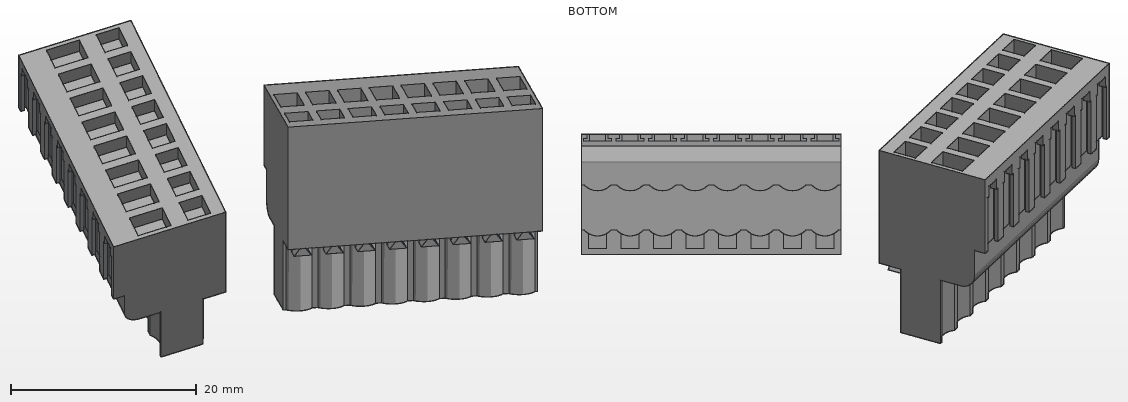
import cadquery as cq

poles = 8
pitch = 3.5
length = poles * pitch
depth = 13.0
height = 22.1
pole_centres = [pitch * (index + 0.5) for index in range(poles)]

body_height = 14.15
body_bottom = height - body_height
shelf_drop = 9.25
shelf_z = height - shelf_drop
shelf_setback = 1.3
corner_radius = 1.75
plug_front = 5.5
plug_back = 10.35

flute_chord = 2.85
flute_sagitta = 0.62

hole_width = 2.58
hole_depth = 2.0
back_hole_front = 8.8
back_hole_length = 2.63
front_hole_front = 3.02
front_hole_length = 3.8

slot_depth = 0.75
skin_thickness = 0.45
undercut_width = 3.0
slot_width = 2.3
slot_drop = 2.58
neck_width = 1.7
neck_drop = 1.3

catch_back = 12.35
catch_height = 1.05
catch_straight = 0.21
catch_top_width = 0.55
catch_bottom_width = 1.9


def make_housing():
    """Constant side profile extruded along the whole row of poles."""
    profile = (
        cq.Workplane("YZ")
        .moveTo(0, height)
        .lineTo(depth, height)
        .lineTo(depth, body_bottom)
        .lineTo(plug_back, body_bottom)
        .lineTo(plug_back, 0)
        .lineTo(plug_front, 0)
        .lineTo(plug_front, body_bottom)
        .lineTo(shelf_setback + corner_radius, body_bottom)
        .radiusArc((shelf_setback, body_bottom + corner_radius), corner_radius)
        .lineTo(shelf_setback, shelf_z)
        .lineTo(0, shelf_z)
        .close()
    )
    return profile.extrude(length)


def make_round_segment(centre_x, chord_y):
    """Upright circular segment bulging towards +Y from its chord."""
    return (
        cq.Workplane("XY")
        .moveTo(centre_x - flute_chord / 2, chord_y)
        .sagittaArc((centre_x + flute_chord / 2, chord_y), flute_sagitta)
        .close()
        .extrude(body_bottom)
    )


def make_block(centre_x, width, front_y, back_y, bottom_z, top_z):
    """Box centred on a pole across the row and placed by its limits in Y and Z."""
    block = cq.Workplane("XY").box(width, back_y - front_y, top_z - bottom_z, centered=(True, False, False))
    return block.translate((centre_x, front_y, bottom_z))


def make_hole(centre_x, front_y, hole_length):
    """Blind rectangular hole sunk from the top face."""
    return make_block(centre_x, hole_width, front_y, front_y + hole_length, height - hole_depth, height)


def make_slot_layer(centre_x, width, top_drop, front_y, back_y):
    """One rectangular layer of a front slot, open onto the shelf below."""
    return make_block(centre_x, width, front_y, back_y, shelf_z, height - top_drop)


def make_slot(centre_x):
    """Front slot with a narrow neck; its wide part is undercut behind a thin skin."""
    neck = make_slot_layer(centre_x, neck_width, neck_drop, 0, slot_depth)
    opening = make_slot_layer(centre_x, slot_width, slot_drop, 0, skin_thickness)
    undercut = make_slot_layer(centre_x, undercut_width, slot_drop, skin_thickness, slot_depth)
    return neck.union(opening).union(undercut)


def make_catch(centre_x):
    """Wedge under the body, straight at its root and flaring downwards."""
    root_z = body_bottom
    flare_z = root_z - catch_straight
    bottom_z = root_z - catch_height
    half_top = catch_top_width / 2
    half_bottom = catch_bottom_width / 2
    outline = [
        (centre_x - half_top, root_z),
        (centre_x + half_top, root_z),
        (centre_x + half_top, flare_z),
        (centre_x + half_bottom, bottom_z),
        (centre_x - half_bottom, bottom_z),
        (centre_x - half_top, flare_z),
    ]
    wedge = cq.Workplane("XZ", origin=(0, catch_back, 0)).polyline(outline).close()
    return wedge.extrude(catch_back - plug_back)


connector = make_housing()
for pole_x in pole_centres:
    connector = connector.union(make_round_segment(pole_x, plug_back))
    connector = connector.union(make_catch(pole_x))
    connector = connector.cut(make_round_segment(pole_x, plug_front))
    connector = connector.cut(make_hole(pole_x, back_hole_front, back_hole_length))
    connector = connector.cut(make_hole(pole_x, front_hole_front, front_hole_length))
    connector = connector.cut(make_slot(pole_x))

result = cq.Workplane(connector.solids().val())